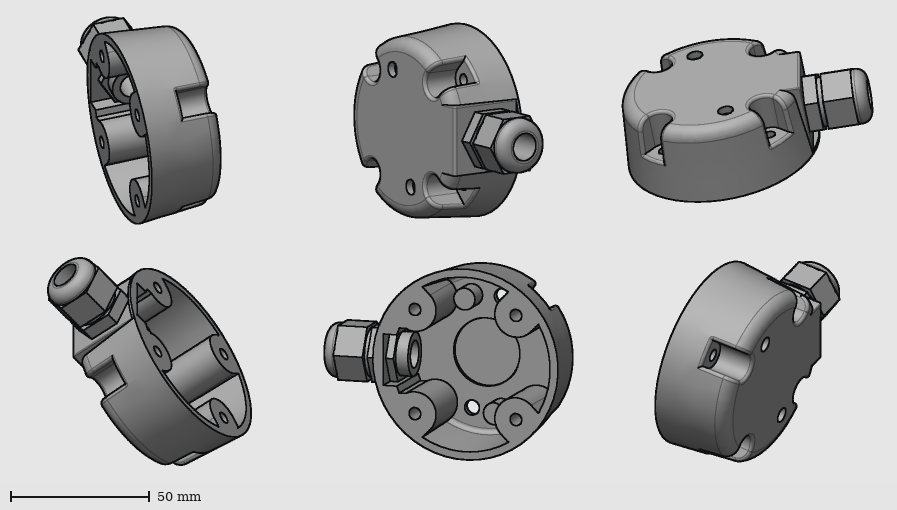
import cadquery as cq
import math

depth = 28.5
rim_radius = 35.0
rim_height = 1.1
wall = 3.0
floor_y = depth - wall
draft_slope = math.tan(math.radians(5))
back_edge_radius = 5.0
cavity_edge_radius = 2.0

screw_circle_radius = 27.0
screw_count = 4
screw_step_angle = 360 / screw_count
first_screw_angle = screw_step_angle / 2
boss_diameter = 16.0
screw_hole_diameter = 4.4
pocket_width = 10.0
pocket_floor_y = 14.7
pocket_edge_radius = 1.2
screw_offset = screw_circle_radius * math.cos(math.radians(first_screw_angle))

pin_diameter = 8.0
pin_end_y = 16.5
floor_hole_diameter = 5.5
floor_detail_x = 5.6
floor_detail_z = 20.7
recess_diameter = 25.0
recess_depth = 1.5

pad_face_x = -32.8
pad_inner_x = -24.0
pad_width = 25.4
pad_back_radius = 1.0
pad_side_radius = 0.4

entry_wall = 1.8
nut_seat_x = pad_face_x + entry_wall
nut_slot_width = 18.8
cheek_half_gap = 11.9
cheek_end_x = -25.0
slot_end_x = -25.9

gland_y = 13.6
gland_end_x = -55.6
gland_hex_width = 20.0
gland_dome_radius = 4.0
cap_hex_start_x = -50.6
cap_hex_end_x = -39.6
body_hex_start_x = -37.8
neck_diameter = 18.0
thread_diameter = 16.0
thread_end_x = -23.5
nut_end_x = -28.1
cable_bore_diameter = 10.0

margin = 0.1


def cylinder_y(diameter, y_start, y_end, x=0, z=0):
    plane = cq.Workplane("XZ", origin=(x, y_start, z))
    return plane.circle(diameter / 2).extrude(y_start - y_end)


def cylinder_x(diameter, x_start, x_end):
    plane = cq.Workplane("YZ", origin=(x_start, gland_y, 0))
    return plane.circle(diameter / 2).extrude(x_end - x_start)


def hexagon_x(width_across_flats, x_start, x_end):
    """Hexagonal prism along the gland axis, with two flats facing +Z and -Z."""
    corner_diameter = width_across_flats / math.cos(math.radians(30))
    plane = cq.Workplane("YZ", origin=(x_start, gland_y, 0))
    return plane.polygon(6, corner_diameter).extrude(x_end - x_start)


def block(x_start, x_end, y_start, y_end, width):
    """Box that is centred on z = 0."""
    box = cq.Workplane("XY").box(x_end - x_start, y_end - y_start, width, centered=(False, False, True))
    return box.translate((x_start, y_start, 0))


def turn(solid, angle):
    """Turn a solid about the housing axis."""
    return solid.rotate((0, 0, 0), (0, 1, 0), angle)


def tapered_disc(base_radius, height, edge_radius):
    """Solid cone from y = 0 that narrows towards +Y and has a rounded far edge."""
    top_radius = base_radius - height * draft_slope
    outline = [(0, 0), (base_radius, 0), (top_radius, height), (0, height)]
    disc = cq.Workplane("XY").polyline(outline).close().revolve(360, (0, 0, 0), (0, 1, 0))
    return disc.faces(">Y").edges().fillet(edge_radius)


def radial_slot(width, y_start, y_end):
    """Prism on the +X side, round about the screw axis and running straight out past the rim."""
    round_end = cylinder_y(width, y_start, y_end, screw_circle_radius)
    straight = block(screw_circle_radius, screw_circle_radius + rim_radius, y_start, y_end, width)
    return round_end.union(straight)


def cut_pocket(body):
    """Cut one pocket on the +X side and round its edges on the outer surface of the cup."""
    body = body.cut(radial_slot(pocket_width, pocket_floor_y, depth))
    half_width = pocket_width / 2 + margin
    above_floor = cq.selectors.BoxSelector(
        (screw_circle_radius - half_width, pocket_floor_y + margin, -half_width),
        (rim_radius, depth + margin, half_width),
    )
    outer_floor_edge = cq.selectors.BoxSelector(
        (rim_radius - wall, pocket_floor_y - margin, -half_width),
        (rim_radius, pocket_floor_y + margin, half_width),
    )
    inner_wall_edges = cq.selectors.ParallelDirSelector(cq.Vector(0, 1, 0))
    opening_edges = (above_floor - inner_wall_edges) + outer_floor_edge
    return body.edges(opening_edges).fillet(pocket_edge_radius)


def make_outer_body():
    """Solid drafted body with the four screw pockets."""
    body = turn(tapered_disc(rim_radius, depth, back_edge_radius), first_screw_angle)
    for _ in range(screw_count):
        body = turn(cut_pocket(body), screw_step_angle)
    return turn(body, first_screw_angle)


def add_pad(body):
    """Flatten the cone behind the rim and square the -X side up to the flat pad face."""
    body = body.cut(block(-rim_radius, pad_face_x, rim_height, depth, pad_width))
    pad = block(pad_face_x, pad_inner_x, 0, depth, pad_width)
    pad = pad.edges("<X and >Y").fillet(pad_back_radius)
    pad = pad.faces("<X").edges("|Y").fillet(pad_side_radius)
    return body.union(pad)


def make_cheek():
    """Solid on the +Z side that joins the screw boss to the wall beside the nut slot."""
    outline = [
        (-rim_radius, screw_offset),
        (-screw_offset, screw_offset),
        (-screw_offset, cheek_half_gap),
        (cheek_end_x, cheek_half_gap),
        (slot_end_x, nut_slot_width / 2),
        (-rim_radius, nut_slot_width / 2),
    ]
    return cq.Workplane("XZ").polyline(outline).close().extrude(-floor_y)


def make_cavity():
    """Inside of the cup, less the screw bosses, the cheeks and the entry wall, plus the nut slot."""
    cavity = tapered_disc(rim_radius - wall, floor_y, cavity_edge_radius)
    boss = radial_slot(boss_diameter, 0, floor_y)
    for index in range(screw_count):
        cavity = cavity.cut(turn(boss, first_screw_angle + index * screw_step_angle))
    cheek = make_cheek()
    cavity = cavity.cut(cheek).cut(cheek.mirror("XY"))
    cavity = cavity.cut(block(-rim_radius, nut_seat_x, 0, floor_y, nut_slot_width))
    return cavity.union(block(nut_seat_x, slot_end_x, 0, floor_y, nut_slot_width))


def add_floor_details(body):
    """Pins and through holes in point symmetry about the axis, and the central recess."""
    for side in (1, -1):
        x = side * floor_detail_x
        z = side * floor_detail_z
        body = body.union(cylinder_y(pin_diameter, pin_end_y, floor_y, x, -z))
        body = body.cut(cylinder_y(floor_hole_diameter, floor_y, depth, x, z))
    return body.cut(cylinder_y(recess_diameter, floor_y, floor_y + recess_depth))


def cut_screw_holes(body):
    hole = cylinder_y(screw_hole_diameter, 0, depth, screw_circle_radius)
    for index in range(screw_count):
        body = body.cut(turn(hole, first_screw_angle + index * screw_step_angle))
    return body


def make_gland():
    """Domed cap, neck, body hexagon, threaded end and lock nut along one axis."""
    gland = cylinder_x(gland_hex_width, gland_end_x, cap_hex_start_x)
    gland = gland.faces("<X").edges().fillet(gland_dome_radius)
    gland = gland.union(hexagon_x(gland_hex_width, cap_hex_start_x, cap_hex_end_x))
    gland = gland.union(cylinder_x(neck_diameter, cap_hex_end_x, body_hex_start_x))
    gland = gland.union(hexagon_x(gland_hex_width, body_hex_start_x, pad_face_x))
    gland = gland.union(cylinder_x(thread_diameter, pad_face_x, thread_end_x))
    return gland.union(hexagon_x(nut_slot_width, nut_seat_x, nut_end_x))


housing = add_pad(make_outer_body()).cut(make_cavity())
housing = cut_screw_holes(add_floor_details(housing))
cable_bore = cylinder_x(cable_bore_diameter, gland_end_x, thread_end_x)
result = housing.union(make_gland()).cut(cable_bore)